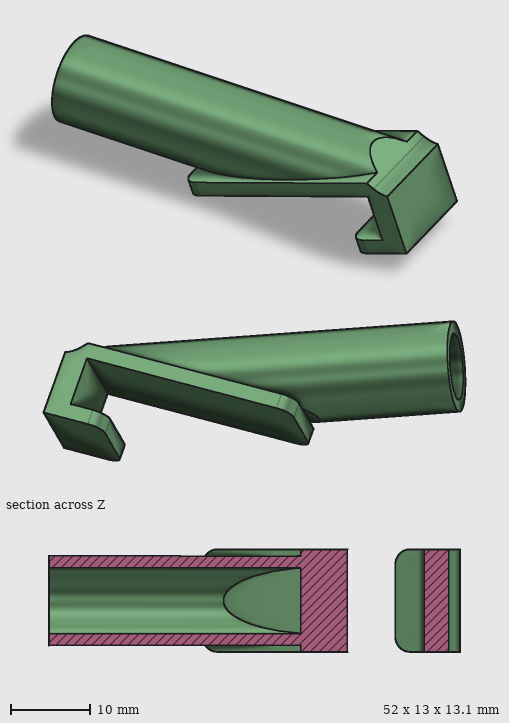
import cadquery as cq
import math

overall_length = 52.0
overall_height = 13.05
tube_diameter = 11.5
bore_diameter = 8.4

tilt = math.radians(19.4)
clip_width = 13.0
clip_height = 10.35
plate_length = 30.9
plate_thickness = 2.0
wall_thickness = 3.0
wall_height = 8.4
lip_length = 8.0
corner_radius = 2.0

nose_angle = math.radians(28)
junction_x = 46.25
nose_end_x = 47.15

lowest_z = tube_diameter / 2 - overall_height
corner_z = lowest_z + lip_length * math.sin(tilt)


def clip_point(back, up):
    """XZ point at a distance back along the plate and up along the wall from the outer corner."""
    x = overall_length - back * math.cos(tilt) - up * math.sin(tilt)
    z = corner_z - back * math.sin(tilt) + up * math.cos(tilt)
    return x, z


plate_tip = clip_point(plate_length, clip_height)
junction = (junction_x, plate_tip[1] + (junction_x - plate_tip[0]) * math.tan(tilt))


def nose_point(x):
    """Point of the nose line at a given X."""
    return x, junction[1] - (x - junction_x) * math.tan(nose_angle)


def extrude_across(profile, width):
    """Extrude an XZ profile symmetrically about the Y = 0 plane."""
    return profile.extrude(width / 2, both=True)


def round_tip(clip, tip):
    """Round the two side corners of the plate or lip whose end passes through the tip point."""
    x, z = tip
    for side in (-1, 1):
        corner = (x, side * clip_width / 2, z)
        thickness_direction = cq.Vector(-math.sin(tilt), 0, math.cos(tilt))
        edges = clip.edges(cq.selectors.ParallelDirSelector(thickness_direction))
        clip = edges.edges(cq.selectors.NearestToPointSelector(corner)).fillet(corner_radius)
    return clip


def make_clip():
    """Tilted plate, wall and return lip, with rounded plate and lip ends."""
    plate_underside = clip_height - plate_thickness
    profile = (
        cq.Workplane("XZ")
        .moveTo(*plate_tip)
        .lineTo(*junction)
        .lineTo(*nose_point(nose_end_x))
        .tangentArcPoint(clip_point(0, wall_height), relative=False)
        .lineTo(*clip_point(0, 0))
        .lineTo(*clip_point(lip_length, 0))
        .lineTo(*clip_point(lip_length, plate_thickness))
        .lineTo(*clip_point(wall_thickness, plate_thickness))
        .lineTo(*clip_point(wall_thickness, plate_underside))
        .lineTo(*clip_point(plate_length, plate_underside))
        .close()
    )
    clip = extrude_across(profile, clip_width)
    return round_tip(round_tip(clip, plate_tip), clip_point(lip_length, 0))


def make_tube():
    """Tube ended by the plate's upper face and the nose slope; the plate closes its bore."""
    tube = (
        cq.Workplane("YZ")
        .circle(tube_diameter / 2)
        .circle(bore_diameter / 2)
        .extrude(overall_length)
    )
    plate_line_start_z = junction[1] - junction_x * math.tan(tilt)
    envelope = (
        cq.Workplane("XZ")
        .moveTo(0, plate_line_start_z)
        .lineTo(*junction)
        .lineTo(*nose_point(0))
        .close()
    )
    return tube.intersect(extrude_across(envelope, clip_width))


result = make_clip().union(make_tube())